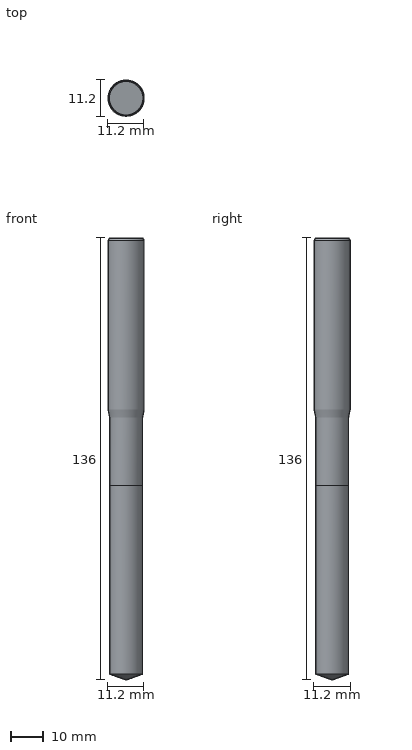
import cadquery as cq
import math

total_length = 136.0

shank_diameter = 11.2
shank_length = 52.8
chamfer_height = 0.7
chamfer_width = 0.4
cone_length = 2.5
neck_length = 21.0

cutter_diameter = 10.2
neck_diameter = cutter_diameter
point_angle = 140.0

shank_bottom = total_length - shank_length
neck_top = shank_bottom - cone_length
joint_level = neck_top - neck_length
point_height = cutter_diameter / 2 / math.tan(math.radians(point_angle / 2))


def revolve_profile(points):
    """Revolve a closed (radius, height) outline around the Z axis."""
    return cq.Workplane("XZ").polyline(points).close().revolve(360, (0, 0), (0, 1))


def make_holder():
    """Shank with a chamfered top, stepping down through a cone to the neck."""
    shank_radius = shank_diameter / 2
    neck_radius = neck_diameter / 2
    return revolve_profile([
        (0, joint_level),
        (neck_radius, joint_level),
        (neck_radius, neck_top),
        (shank_radius, shank_bottom),
        (shank_radius, total_length - chamfer_height),
        (shank_radius - chamfer_width, total_length),
        (0, total_length),
    ])


def make_cutter():
    """Cylindrical cutting body with its point at the origin."""
    cutter_radius = cutter_diameter / 2
    return revolve_profile([
        (0, 0),
        (cutter_radius, point_height),
        (cutter_radius, joint_level),
        (0, joint_level),
    ])


holder = make_holder()
cutter = make_cutter()

result = cq.Compound.makeCompound([holder.val(), cutter.val()])